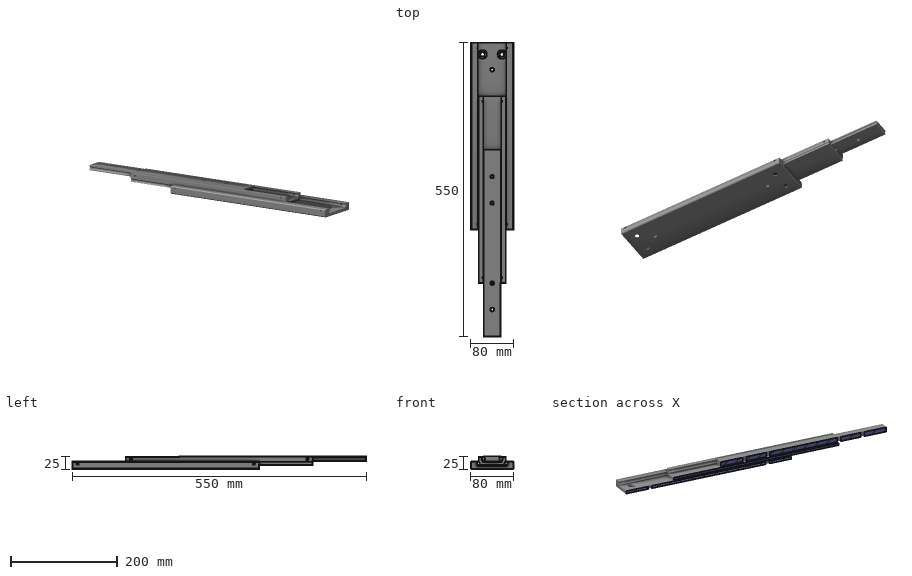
import cadquery as cq

RAIL_LENGTH = 350.0
STEP = 100.0
SIDE_GAP = 1.0
FLOOR_GAP = 1.5

OUTER_WIDTH = 80.0
OUTER_HEIGHT = 15.0
OUTER_FLOOR = 6.0
OUTER_OPENING = 53.5
OUTER_CHAMFER = 1.5

MIDDLE_WIDTH = OUTER_OPENING - 2 * SIDE_GAP
MIDDLE_BOTTOM = OUTER_FLOOR + FLOOR_GAP
MIDDLE_FLOOR = 13.0
MIDDLE_TOP = 23.0
MIDDLE_OPENING = 34.0

INNER_WIDTH = MIDDLE_OPENING - 2 * SIDE_GAP
INNER_BOTTOM = MIDDLE_FLOOR + FLOOR_GAP
INNER_TOP = 25.0

TRACK_RADIUS = 3.0
OUTER_TRACK_X = (OUTER_OPENING + MIDDLE_WIDTH) / 4
OUTER_TRACK_Z = 11.0
INNER_TRACK_X = (MIDDLE_OPENING + INNER_WIDTH) / 4
INNER_TRACK_Z = 19.0

BORE_RADIUS = 2.0
BORE_END_DISTANCE = 10.0

HOLE_DIAMETER = 6.5
HOLE_END_DISTANCE = 50.5
INNER_HOLE_PITCH = 49.5
SCREW_DIAMETER = 8.0
SCREW_HEAD_DIAMETER = 16.5
SCREW_HEAD_ANGLE = 80
SCREW_X = 18.0
SCREW_END_DISTANCE = 22.0

OUTER_Y = STEP
MIDDLE_Y = 0
INNER_Y = -STEP


def bar(width, bottom, top, center_y):
    """Rectangular bar of rail length, centred on X = 0."""
    return (
        cq.Workplane("XY", origin=(0, center_y, bottom))
        .box(width, RAIL_LENGTH, top - bottom, centered=(True, True, False))
    )


def ball_tracks(track_x, track_z, center_y):
    """Pair of round tunnels along the whole rail."""
    return (
        cq.Workplane("XZ", origin=(0, center_y, track_z))
        .pushPoints([(-track_x, 0), (track_x, 0)])
        .circle(TRACK_RADIUS)
        .extrude(RAIL_LENGTH / 2, both=True)
    )


def end_pair(end_distance):
    """Y offsets from the middle of a rail to the two places this far from its ends."""
    offset = RAIL_LENGTH / 2 - end_distance
    return [-offset, offset]


def cross_bores(bore_z, width, center_y):
    """Two bores along X, one near each rail end, through both side walls."""
    return (
        cq.Workplane("YZ", origin=(0, center_y, bore_z))
        .pushPoints([(y, 0) for y in end_pair(BORE_END_DISTANCE)])
        .circle(BORE_RADIUS)
        .extrude(width / 2, both=True)
    )


def make_outer_rail():
    rail = bar(OUTER_WIDTH, 0, OUTER_HEIGHT, OUTER_Y)
    rail = rail.edges("|Y").chamfer(OUTER_CHAMFER)
    rail = rail.cut(bar(OUTER_OPENING, OUTER_FLOOR, OUTER_HEIGHT, OUTER_Y))
    rail = rail.cut(ball_tracks(OUTER_TRACK_X, OUTER_TRACK_Z, OUTER_Y))
    rail = rail.cut(cross_bores(OUTER_TRACK_Z, OUTER_WIDTH, OUTER_Y))

    floor = cq.Workplane("XY", origin=(0, OUTER_Y, OUTER_FLOOR))
    screw_points = [(x, y) for x in (-SCREW_X, SCREW_X) for y in end_pair(SCREW_END_DISTANCE)]
    rail = (
        rail.copyWorkplane(floor)
        .pushPoints(screw_points)
        .cskHole(SCREW_DIAMETER, SCREW_HEAD_DIAMETER, SCREW_HEAD_ANGLE)
    )
    return (
        rail.copyWorkplane(floor)
        .pushPoints([(0, y) for y in end_pair(HOLE_END_DISTANCE)])
        .hole(HOLE_DIAMETER)
    )


def make_middle_rail():
    rail = bar(MIDDLE_WIDTH, MIDDLE_BOTTOM, MIDDLE_TOP, MIDDLE_Y)
    rail = rail.cut(bar(MIDDLE_OPENING, MIDDLE_FLOOR, MIDDLE_TOP, MIDDLE_Y))
    rail = rail.cut(ball_tracks(OUTER_TRACK_X, OUTER_TRACK_Z, MIDDLE_Y))
    rail = rail.cut(ball_tracks(INNER_TRACK_X, INNER_TRACK_Z, MIDDLE_Y))
    return rail.cut(cross_bores(INNER_TRACK_Z, MIDDLE_WIDTH, MIDDLE_Y))


def make_inner_rail():
    rail = bar(INNER_WIDTH, INNER_BOTTOM, INNER_TOP, INNER_Y)
    rail = rail.cut(ball_tracks(INNER_TRACK_X, INNER_TRACK_Z, INNER_Y))
    hole_offsets = end_pair(HOLE_END_DISTANCE) + end_pair(HOLE_END_DISTANCE + INNER_HOLE_PITCH)
    return (
        rail.copyWorkplane(cq.Workplane("XY", origin=(0, INNER_Y, INNER_TOP)))
        .pushPoints([(0, y) for y in hole_offsets])
        .hole(HOLE_DIAMETER)
    )


outer_rail = make_outer_rail()
middle_rail = make_middle_rail()
inner_rail = make_inner_rail()

result = cq.Compound.makeCompound([outer_rail.val(), middle_rail.val(), inner_rail.val()])